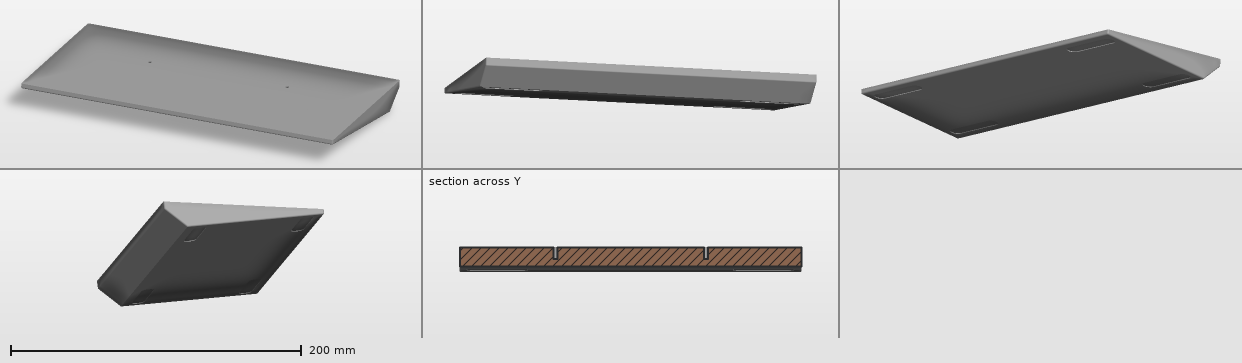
import cadquery as cq
import math

LENGTH = 235.65
WIDTH = 112.9
HEIGHT = 17.19
KEEL_FROM_BACK = 16.9
BACK_WALL_DROP = 5.3
EDGE_RADIUS = 1.0

SLOPE_ANGLE = 8.12
TILT_COS = math.cos(math.radians(SLOPE_ANGLE))
TILT_SIN = math.sin(math.radians(SLOPE_ANGLE))
TILT_TAN = TILT_SIN / TILT_COS

BACK_Y = WIDTH / 2
KEEL_Y = BACK_Y - KEEL_FROM_BACK
FRONT_Y = -WIDTH / 2 - EDGE_RADIUS * (TILT_COS + TILT_SIN - 1)
FRONT_LIP_DROP = HEIGHT - (KEEL_Y - FRONT_Y) * TILT_TAN
SLOPE_LENGTH = (KEEL_Y - FRONT_Y) / TILT_COS

FOOT_LENGTH = 42.5
FOOT_WIDTH = 9.0
FOOT_DEPTH = 0.5
FOOT_SIDE_MARGIN = 4.9
FOOT_EDGE_MARGIN = 6.0
FOOT_X = LENGTH / 2 - FOOT_SIDE_MARGIN - FOOT_LENGTH / 2
FRONT_FOOT = FOOT_EDGE_MARGIN + FOOT_WIDTH / 2
REAR_FOOT = SLOPE_LENGTH - FOOT_EDGE_MARGIN - FOOT_WIDTH / 2

HOLE_DIAMETER = 2.53
HOLE_SPACING = 103.6
HOLE_Y = 13.5
HOLE_DEPTH = 8.0


def make_body():
    """Extrude the wedge profile along X; round every edge except the keel and the top outline."""
    profile = [
        (FRONT_Y + FRONT_LIP_DROP * TILT_TAN, 0),
        (BACK_Y, 0),
        (BACK_Y - BACK_WALL_DROP * TILT_TAN, -BACK_WALL_DROP),
        (KEEL_Y, -HEIGHT),
        (FRONT_Y, -FRONT_LIP_DROP),
    ]
    wedge = cq.Workplane("YZ").polyline(profile).close().extrude(LENGTH / 2, both=True)
    keel_middle = cq.selectors.NearestToPointSelector((0, KEEL_Y, -HEIGHT))
    top_outline = wedge.faces(">Z").edges()
    sharp_edges = top_outline.add(wedge.edges(keel_middle)).vals()
    rounded_edges = [
        edge for edge in wedge.edges().vals() if not any(edge.isSame(sharp) for sharp in sharp_edges)
    ]
    return wedge.newObject(rounded_edges).fillet(EDGE_RADIUS)


def make_foot_recess(center_x, along_slope):
    """Round-ended slot cutter sunk square into the slope, placed by its distance from the front edge."""
    return (
        cq.Workplane("XY")
        .center(center_x, along_slope)
        .slot2D(FOOT_LENGTH, FOOT_WIDTH)
        .extrude(FOOT_DEPTH, both=True)
        .rotate((0, 0, 0), (1, 0, 0), -SLOPE_ANGLE)
        .translate((0, FRONT_Y, -FRONT_LIP_DROP))
    )


def make_hole(center_x):
    """Blind hole cutter going down from the top face."""
    return cq.Workplane("XY").center(center_x, HOLE_Y).circle(HOLE_DIAMETER / 2).extrude(-HOLE_DEPTH)


result = make_body()
for side in (-1, 1):
    result = result.cut(make_hole(side * HOLE_SPACING / 2))
    for along_slope in (FRONT_FOOT, REAR_FOOT):
        result = result.cut(make_foot_recess(side * FOOT_X, along_slope))